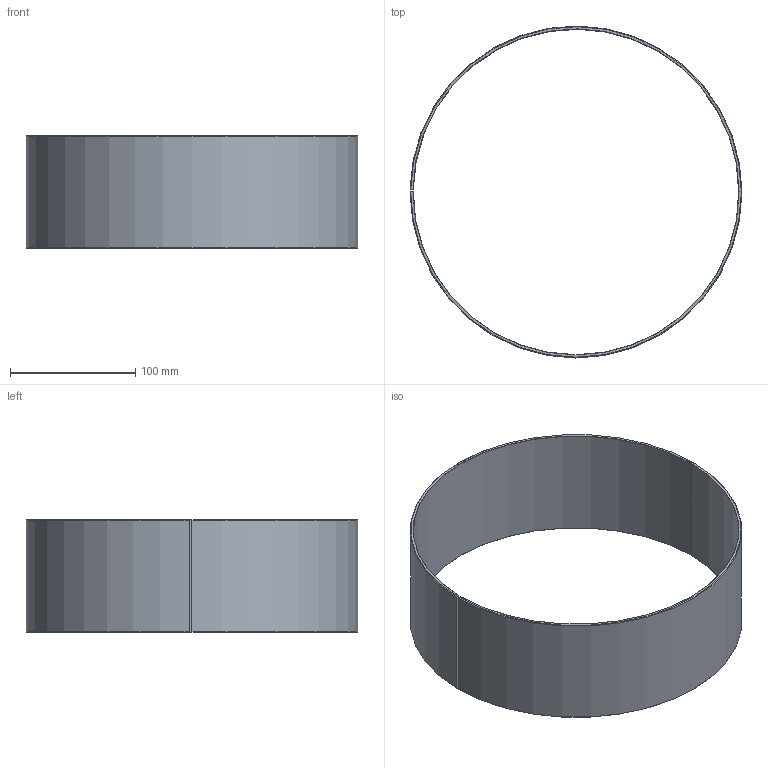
import cadquery as cq

outer_diameter = 265.0
wall_thickness = 2.5
height = 90.0
gap_angle = 1.0
outer_chamfer = 0.5
inner_chamfer = 0.2

outer_radius = outer_diameter / 2
inner_radius = outer_radius - wall_thickness


def ring():
    """Thin-walled cylindrical band standing on the XY plane, with chamfered rims."""
    band = cq.Workplane("XY").circle(outer_radius).circle(inner_radius).extrude(height)
    outer_rims = cq.selectors.RadiusNthSelector(-1)
    inner_rims = cq.selectors.RadiusNthSelector(0)
    band = band.edges(outer_rims).chamfer(outer_chamfer)
    return band.edges(inner_rims).chamfer(inner_chamfer)


def gap():
    """Full-height wedge with radial sides, from the -X axis toward +Y, that splits the wall."""
    radial_length = 2 * wall_thickness
    wall_middle = outer_radius - wall_thickness / 2
    return (
        cq.Workplane("XZ")
        .center(-wall_middle, height / 2)
        .rect(radial_length, height)
        .revolve(gap_angle, (wall_middle, 0), (wall_middle, -1))
    )


result = ring().cut(gap())